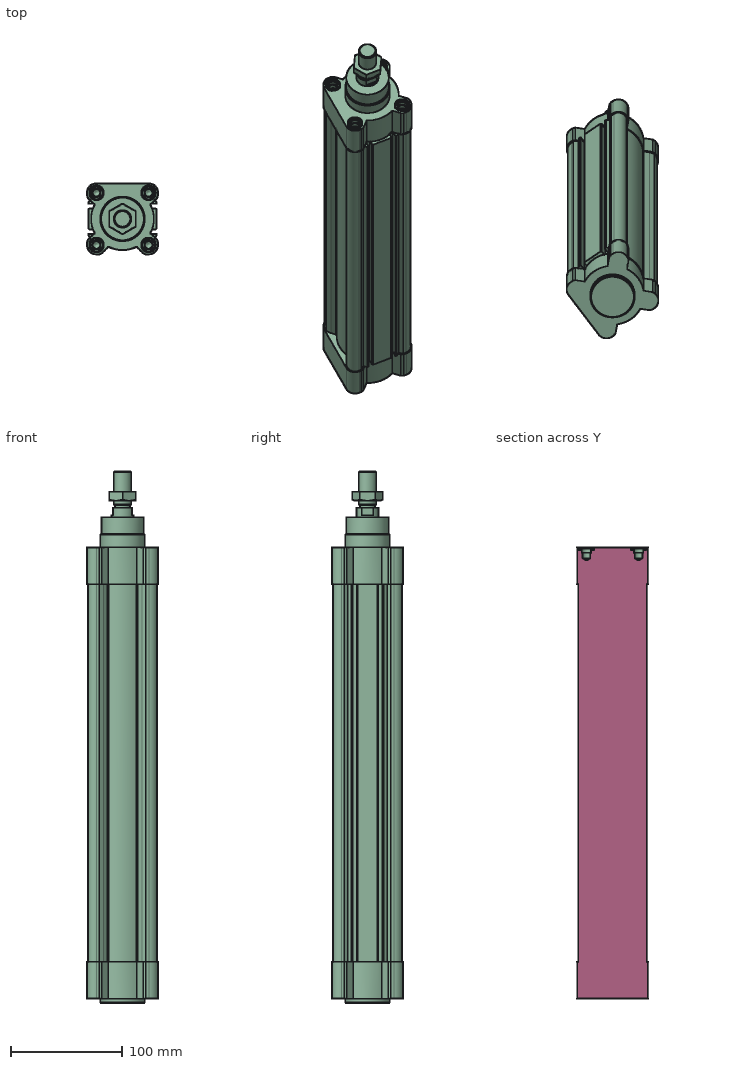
import cadquery as cq
import math

REAR_CAP_BOTTOM = 4.5
CAP_HEIGHT = 33.0
REAR_CAP_TOP = REAR_CAP_BOTTOM + CAP_HEIGHT
FRONT_CAP_TOP = 409.5
FRONT_CAP_BOTTOM = FRONT_CAP_TOP - CAP_HEIGHT
COLLAR_SHOULDER = 422.0
COLLAR_TOP = 436.5
FLAT_BOTTOM = 438.5
FLAT_TOP = 445.5
NECK_TOP = 447.0
NUT_BOTTOM = 451.5
NUT_TOP = 459.5
ROD_TOP = 478.0

CAP_HALF_WIDTH = 32.0
BARREL_HALF_WIDTH = 31.0
CAP_CORE_RADIUS = 28.0
BARREL_CORE_RADIUS = 27.5
CORNER_POSITION = 23.5
LOBE_FLAT_END = 21.0
CAP_LOBE_BEVEL = (2.5, 1.0)
BARREL_LOBE_BEVEL = (4.0, 3.0)
LOBE_FOOT = 9.5
VALLEY_FLOOR = 25.0

RAIL_FACE = 30.5
RAIL_HALF_WIDTH = 9.5
RAIL_EDGE_BEVEL = 1.0
SLOT_FLOOR = 25.0
LAND_INNER_EDGE = 13.5
LAND_OUTER_EDGE = 15.0
LAND_ROOT_X = 28.0
LAND_ROOT_Y = 18.0

SCREW_RECESS_DIAMETER = 13.5
SCREW_RECESS_DEPTH = 2.5
SCREW_HEAD_DIAMETER = 11.5
SCREW_HEAD_DROP = 1.0
SCREW_HOLE_DIAMETER = 8.0
SCREW_CORE_DIAMETER = 6.5
SCREW_THREAD_DEPTH = 5.0
SCREW_CORE_DEPTH = 9.5
DRILL_TIP_ANGLE = 118

COLLAR_DIAMETER = 40.0
COLLAR_NOSE_DIAMETER = 38.0
COLLAR_BEVEL = 1.0
ROD_DIAMETER = 20.0
ROD_FLATS_WIDTH = 17.0
NECK_DIAMETER = 14.0
THREAD_DIAMETER = 16.0
THREAD_TIP_BEVEL = 1.0
NUT_SIDES = 6
NUT_ACROSS_FLATS = 24.0
NUT_BEVEL_ANGLE = 30


def cylinder(diameter, bottom, top):
    return cq.Workplane("XY").workplane(offset=bottom).circle(diameter / 2).extrude(top - bottom)


def corner_lobe(half_width, bevel, bottom, top):
    """Rounded ear around the corner screw at +X +Y, with flanks at 45 degrees."""
    bevel_run, bevel_drop = bevel
    flank_x = LOBE_FLAT_END - bevel_run
    flank_y = half_width - bevel_drop
    flank_foot = flank_x - (flank_y - VALLEY_FLOOR)
    arc_radius = half_width - CORNER_POSITION
    arc_middle = CORNER_POSITION + arc_radius * math.sqrt(0.5)
    return (
        cq.Workplane("XY")
        .workplane(offset=bottom)
        .moveTo(LOBE_FOOT, LOBE_FOOT)
        .lineTo(LOBE_FOOT, VALLEY_FLOOR)
        .lineTo(flank_foot, VALLEY_FLOOR)
        .lineTo(flank_x, flank_y)
        .lineTo(LOBE_FLAT_END, half_width)
        .lineTo(CORNER_POSITION, half_width)
        .threePointArc((arc_middle, arc_middle), (half_width, CORNER_POSITION))
        .lineTo(half_width, LOBE_FLAT_END)
        .lineTo(flank_y, flank_x)
        .lineTo(VALLEY_FLOOR, flank_foot)
        .lineTo(VALLEY_FLOOR, LOBE_FOOT)
        .close()
        .extrude(top - bottom)
    )


def lobed_body(core_radius, half_width, bevel, bottom, top):
    """Round core with an ear at each of the four corners."""
    body = cylinder(2 * core_radius, bottom, top)
    lobe = corner_lobe(half_width, bevel, bottom, top)
    for quarter in range(4):
        body = body.union(lobe.rotate((0, 0, 0), (0, 0, 1), 90 * quarter))
    return body


def cap(bottom, top):
    """End cap: lobed body whose +Y side is filled out to a flat face."""
    web = (
        cq.Workplane("XY")
        .workplane(offset=bottom)
        .center(0, CAP_HALF_WIDTH / 2)
        .rect(2 * CORNER_POSITION, CAP_HALF_WIDTH)
        .extrude(top - bottom)
    )
    body = lobed_body(CAP_CORE_RADIUS, CAP_HALF_WIDTH, CAP_LOBE_BEVEL, bottom, top)
    return body.union(web)


def side_rails(bottom, top):
    """Central rail and two slotted lands on the +X side of the barrel."""
    length = top - bottom
    plane = cq.Workplane("XY").workplane(offset=bottom)
    rail = plane.polyline([
        (0, -RAIL_HALF_WIDTH),
        (RAIL_FACE - RAIL_EDGE_BEVEL, -RAIL_HALF_WIDTH),
        (RAIL_FACE, -RAIL_HALF_WIDTH + RAIL_EDGE_BEVEL),
        (RAIL_FACE, RAIL_HALF_WIDTH - RAIL_EDGE_BEVEL),
        (RAIL_FACE - RAIL_EDGE_BEVEL, RAIL_HALF_WIDTH),
        (0, RAIL_HALF_WIDTH),
    ]).close().extrude(length)
    land = plane.polyline([
        (0, LAND_INNER_EDGE),
        (RAIL_FACE, LAND_INNER_EDGE),
        (RAIL_FACE, LAND_OUTER_EDGE),
        (LAND_ROOT_X, LAND_ROOT_Y),
        (0, LAND_ROOT_Y),
    ]).close().extrude(length)
    return rail.union(land).union(land.mirror("XZ"))


def slots(bottom, top):
    """Four slots, one on each side of both central rails."""
    slot_width = LAND_INNER_EDGE - RAIL_HALF_WIDTH
    slot_center = (LAND_INNER_EDGE + RAIL_HALF_WIDTH) / 2
    slot_depth = RAIL_FACE - SLOT_FLOOR
    x = SLOT_FLOOR + slot_depth / 2
    points = [(sx * x, sy * slot_center) for sx in (-1, 1) for sy in (-1, 1)]
    return (
        cq.Workplane("XY").workplane(offset=bottom)
        .pushPoints(points).rect(slot_depth, slot_width).extrude(top - bottom)
    )


def barrel(bottom, top):
    rails = side_rails(bottom, top)
    body = lobed_body(BARREL_CORE_RADIUS, BARREL_HALF_WIDTH, BARREL_LOBE_BEVEL, bottom, top)
    body = body.union(rails).union(rails.mirror("YZ"))
    return body.cut(slots(bottom, top))


def screw_pocket():
    """Ring recess and stepped blind hole of one corner screw, opening at the front cap top."""
    recess_floor = FRONT_CAP_TOP - SCREW_RECESS_DEPTH
    head = cylinder(SCREW_HEAD_DIAMETER, recess_floor, FRONT_CAP_TOP - SCREW_HEAD_DROP)
    recess = cylinder(SCREW_RECESS_DIAMETER, recess_floor, FRONT_CAP_TOP).cut(head)
    ledge = FRONT_CAP_TOP - SCREW_THREAD_DEPTH
    core_end = FRONT_CAP_TOP - SCREW_CORE_DEPTH
    tip = SCREW_CORE_DIAMETER / 2 / math.tan(math.radians(DRILL_TIP_ANGLE / 2))
    hole = (
        cq.Workplane("XZ")
        .polyline([
            (0, FRONT_CAP_TOP),
            (SCREW_HOLE_DIAMETER / 2, FRONT_CAP_TOP),
            (SCREW_HOLE_DIAMETER / 2, ledge),
            (SCREW_CORE_DIAMETER / 2, ledge),
            (SCREW_CORE_DIAMETER / 2, core_end),
            (0, core_end - tip),
        ]).close().revolve(360, (0, 0, 0), (0, 1, 0))
    )
    return recess.union(hole)


def collar():
    """Shouldered collar around the rod: a bevelled base and a slimmer nose."""
    base = cylinder(COLLAR_DIAMETER, FRONT_CAP_TOP, COLLAR_SHOULDER).faces(">Z").chamfer(COLLAR_BEVEL)
    nose = cylinder(COLLAR_NOSE_DIAMETER, FRONT_CAP_TOP, COLLAR_TOP)
    return base.union(nose)


def make_housing():
    """Barrel with both end caps, the collar and the rear boss, bored for the rod."""
    body = cap(REAR_CAP_BOTTOM, REAR_CAP_TOP)
    body = body.union(barrel(REAR_CAP_TOP, FRONT_CAP_BOTTOM))
    body = body.union(cap(FRONT_CAP_BOTTOM, FRONT_CAP_TOP))
    rear_boss = cylinder(COLLAR_DIAMETER, 0, REAR_CAP_BOTTOM).faces("<Z").chamfer(COLLAR_BEVEL)
    body = body.union(rear_boss).union(collar())
    pocket = screw_pocket()
    for sx in (-1, 1):
        for sy in (-1, 1):
            body = body.cut(pocket.translate((sx * CORNER_POSITION, sy * CORNER_POSITION, 0)))
    return body.cut(cylinder(ROD_DIAMETER, FRONT_CAP_BOTTOM, COLLAR_TOP))


def make_rod():
    """Piston rod with wrench flats, a neck and a threaded end."""
    shaft = cylinder(ROD_DIAMETER, FRONT_CAP_BOTTOM, FLAT_TOP)
    flats = (
        cq.Workplane("XY").workplane(offset=FLAT_BOTTOM)
        .rect(2 * ROD_DIAMETER, 2 * ROD_DIAMETER).rect(ROD_FLATS_WIDTH, 2 * ROD_DIAMETER)
        .extrude(FLAT_TOP - FLAT_BOTTOM)
    )
    neck = cylinder(NECK_DIAMETER, FLAT_TOP, NECK_TOP)
    thread = cylinder(THREAD_DIAMETER, NECK_TOP, ROD_TOP).faces(">Z").chamfer(THREAD_TIP_BEVEL)
    thread = thread.faces("<Z").chamfer((THREAD_DIAMETER - NECK_DIAMETER) / 2)
    return shaft.cut(flats).union(neck).union(thread)


def make_nut():
    """Hexagon lock nut with its lower corners bevelled."""
    corner_diameter = NUT_ACROSS_FLATS / math.cos(math.pi / NUT_SIDES)
    height = NUT_TOP - NUT_BOTTOM
    rise = height / math.tan(math.radians(NUT_BEVEL_ANGLE))
    prism = (
        cq.Workplane("XY").workplane(offset=NUT_BOTTOM)
        .polygon(NUT_SIDES, corner_diameter).extrude(height).rotate((0, 0, 0), (0, 0, 1), 180 / NUT_SIDES)
    )
    cone = (
        cq.Workplane("XZ")
        .polyline([
            (0, NUT_BOTTOM), (NUT_ACROSS_FLATS / 2, NUT_BOTTOM),
            (NUT_ACROSS_FLATS / 2 + rise, NUT_TOP), (0, NUT_TOP),
        ]).close().revolve(360, (0, 0, 0), (0, 1, 0))
    )
    return prism.intersect(cone).cut(cylinder(THREAD_DIAMETER, NUT_BOTTOM, NUT_TOP))


housing = make_housing()
rod = make_rod()
nut = make_nut()
result = cq.Compound.makeCompound([housing.val(), rod.val(), nut.val()])